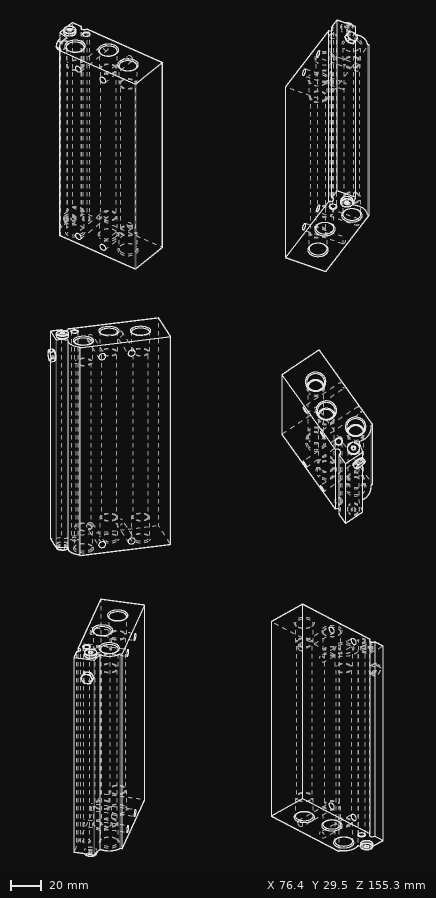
import cadquery as cq
import math

block_width = 73.0
block_depth = 29.5
block_height = 150.3

corner_port = (16.8, 10.0)
corner_radius = 10.1
step_x = 11.6

bevel_start_y = 15.8
bevel_end_y = 13.7
bevel_bulge = 0.2

bevel_fillet = 0.3
edge_fillet = 0.5

groove_x = 9.6
groove_diameter = 4.2

port_pitch = 19.9
ports = [
    corner_port,
    (corner_port[0] + port_pitch, 19.4),
    (corner_port[0] + 2 * port_pitch, 14.1),
]
port_diameter = 10.0
port_thread_diameter = 11.5
port_mouth_diameter = 13.2
port_thread_depth = 15.5

pilot_port = (14.9, 24.7)
pilot_diameter = 4.2
pilot_mouth_diameter = 5.0

mount_diameter = 4.5
mount_x = (26.7, 46.6)
mount_top_margin = 8.4
mount_bottom_margin = 6.0

plug_x = 5.3
plug_y = 19.5
plug_diameter = 8.0
plug_height = 2.5
plug_chamfer_length = 0.5
plug_chamfer_width = 0.2
plug_socket_mouth = 3.0
plug_socket_diameter = 2.0
plug_socket_depth = 1.5

screw_y = 20.0
screw_drop = 13.0
screw_sides = 6
screw_corners = 8.2
screw_length = 3.4
screw_neck_diameter = 7.0
screw_neck_length = 0.5
screw_chamfer_width = 0.6
screw_chamfer_length = 0.3


def arc_y(x):
    """Y of the rounded edge, on its lower side, at a given X."""
    return corner_port[1] - math.sqrt(corner_radius**2 - (x - corner_port[0]) ** 2)


def arc_x(y):
    """X of the rounded edge, on its left side, at a given Y."""
    return corner_port[0] - math.sqrt(corner_radius**2 - (y - corner_port[1]) ** 2)


step_y = arc_y(step_x)


def block_profile():
    return (
        cq.Workplane("XY")
        .moveTo(step_x, 0)
        .lineTo(block_width, 0)
        .lineTo(block_width, block_depth)
        .lineTo(0, block_depth)
        .lineTo(0, bevel_start_y)
        .sagittaArc((arc_x(bevel_end_y), bevel_end_y), bevel_bulge)
        .threePointArc((corner_port[0] - corner_radius, corner_port[1]), (step_x, step_y))
        .close()
    )


def cylinder(center, diameter, bottom, height):
    return cq.Workplane("XY", origin=(*center, bottom)).circle(diameter / 2).extrude(height)


def countersinks(center, mouth_diameter, bore_diameter):
    """45 degree cones at both ends of a vertical bore."""
    mouth = mouth_diameter / 2
    bore = bore_diameter / 2
    depth = mouth - bore
    top = cq.Solid.makeCone(mouth, bore, depth, cq.Vector(*center, block_height), cq.Vector(0, 0, -1))
    bottom = cq.Solid.makeCone(mouth, bore, depth, cq.Vector(*center, 0), cq.Vector(0, 0, 1))
    return cq.Workplane(top).union(cq.Workplane(bottom))


def main_port(center):
    """Cutting body of a port: a bore, its two threaded lengths and their countersinks."""
    port = cylinder(center, port_diameter, 0, block_height)
    for bottom in (0, block_height - port_thread_depth):
        port = port.union(cylinder(center, port_thread_diameter, bottom, port_thread_depth))
    return port.union(countersinks(center, port_mouth_diameter, port_thread_diameter))


def pilot():
    bore = cylinder(pilot_port, pilot_diameter, 0, block_height)
    return bore.union(countersinks(pilot_port, pilot_mouth_diameter, pilot_diameter))


def mounting_holes():
    heights = (mount_bottom_margin, block_height - mount_top_margin)
    points = [(x, z) for x in mount_x for z in heights]
    return cq.Workplane("XZ").pushPoints(points).circle(mount_diameter / 2).extrude(-block_depth)


def round_long_edges(block):
    rounded_corners = (
        ((0, bevel_start_y), bevel_fillet),
        ((step_x, step_y), edge_fillet),
        ((block_width, 0), edge_fillet),
    )
    for corner, radius in rounded_corners:
        middle = (*corner, block_height / 2)
        block = block.edges(cq.NearestToPointSelector(middle)).fillet(radius)
    return block


def make_block():
    block = round_long_edges(block_profile().extrude(block_height))
    groove_center = (groove_x, block_depth)
    block = block.cut(cylinder(groove_center, groove_diameter, 0, block_height))
    for center in ports:
        block = block.cut(main_port(center))
    return block.cut(pilot()).cut(mounting_holes())


def make_plug(face_z, outward):
    """Round plug standing on an end face; outward is 1 for the top face and -1 for the bottom face."""
    plane = cq.Plane(origin=(plug_x, plug_y, face_z), xDir=(1, 0, 0), normal=(0, 0, outward))
    plug = (
        cq.Workplane(plane)
        .circle(plug_diameter / 2)
        .extrude(plug_height)
        .faces("|Z")
        .chamfer(plug_chamfer_length, plug_chamfer_width)
    )
    socket = (
        cq.Workplane(plane)
        .workplane(offset=plug_height)
        .circle(plug_socket_diameter / 2)
        .extrude(-plug_socket_depth)
    )
    mouth = plug_socket_mouth / 2
    bore = plug_socket_diameter / 2
    tip = cq.Vector(plug_x, plug_y, face_z + outward * plug_height)
    countersink = cq.Solid.makeCone(mouth, bore, mouth - bore, tip, cq.Vector(0, 0, -outward))
    return plug.cut(socket).cut(cq.Workplane(countersink))


def make_screw():
    """Screw head with its outer corners chamfered by a conical envelope."""
    plane = cq.Plane(
        origin=(0, screw_y, block_height - screw_drop), xDir=(0, 1, 0), normal=(-1, 0, 0)
    )
    neck = cq.Workplane(plane).circle(screw_neck_diameter / 2).extrude(screw_length)
    head = (
        cq.Workplane(plane)
        .workplane(offset=screw_neck_length)
        .polygon(screw_sides, screw_corners)
        .extrude(screw_length - screw_neck_length)
    )
    envelope = (
        cq.Workplane(plane)
        .circle(screw_corners / 2)
        .extrude(screw_length)
        .faces("<X")
        .chamfer(screw_chamfer_length, screw_chamfer_width)
    )
    return neck.union(head).intersect(envelope)


block = make_block()
plugs = [make_plug(face_z, outward) for face_z, outward in ((block_height, 1), (0, -1))]
screw = make_screw()

result = cq.Compound.makeCompound([block.val(), *[plug.val() for plug in plugs], screw.val()])